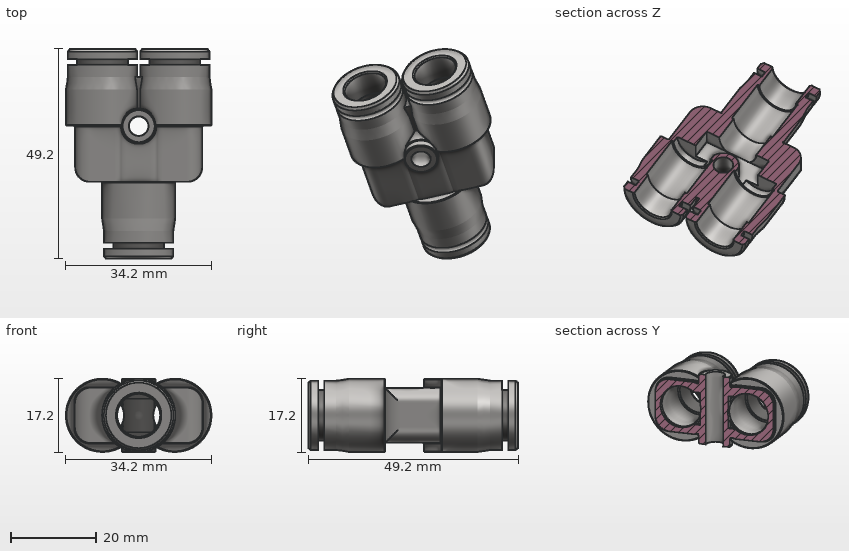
import cadquery as cq


LENGTH = 49.2
END_Y = LENGTH / 2
BRANCH_OFFSET = 8.485
BARREL_RADIUS = 8.6
SLEEVE_RADIUS = 8.15
NECK_RADIUS = 6.0
MOUTH_CHAMFER_LENGTH = 0.65
MOUTH_CHAMFER_DEPTH = 0.5
COLLAR_END = 2.35
NECK_END = 3.75
SLEEVE_END = 6.55
TAPER_END = 9.5
BARREL_END = 18.0

BAR_WIDTH = 12.9
CORNER_RADIUS = 3.55
BLOCK_HALF_WIDTH = BRANCH_OFFSET + BAR_WIDTH / 2
BLOCK_HALF_LENGTH = END_Y - BARREL_END
WEB_THICKNESS = BAR_WIDTH - 2 * CORNER_RADIUS
EDGE_RELIEF = 0.2

BOSS_Y = 6.5
BOSS_RADIUS = 4.0
BOSS_CHAMFER = 0.25
BOSS_HOLE_RADIUS = 2.25

BORE_RADIUS = 5.0
BORE_LEAD_IN = 0.35
COLLET_DEPTH = 6.45
CHAMBER_RADIUS = 5.5
CHAMBER_END = BARREL_END
TRUNK_BORE_DEPTH = 24.6
BRANCH_BORE_DEPTH = 19.7
CHANNEL_HEIGHT = 7.8
COLUMN_RADIUS = 3.7

SOCKETS = ((-BRANCH_OFFSET, 1), (BRANCH_OFFSET, 1), (0, -1))


def revolved(points, axis_x, direction):
    """Revolve (radius, Y) points about the Y axis, aim the open end and move it sideways."""
    body = cq.Workplane("XY").polyline(points).close().revolve(360, (0, 0), (0, 1))
    if direction < 0:
        body = body.rotate((0, 0, 0), (0, 0, 1), 180)
    return body.translate((axis_x, 0, 0))


def socket(axis_x, direction):
    """Barrel, tapered sleeve, neck and release collar of one port."""
    points = [
        (0, END_Y),
        (SLEEVE_RADIUS - MOUTH_CHAMFER_DEPTH, END_Y),
        (SLEEVE_RADIUS, END_Y - MOUTH_CHAMFER_LENGTH),
        (SLEEVE_RADIUS, END_Y - COLLAR_END),
        (NECK_RADIUS, END_Y - COLLAR_END),
        (NECK_RADIUS, END_Y - NECK_END),
        (SLEEVE_RADIUS, END_Y - NECK_END),
        (SLEEVE_RADIUS, END_Y - SLEEVE_END),
        (BARREL_RADIUS, END_Y - TAPER_END),
        (BARREL_RADIUS, END_Y - BARREL_END + EDGE_RELIEF),
        (BARREL_RADIUS - EDGE_RELIEF, END_Y - BARREL_END),
        (0, END_Y - BARREL_END),
    ]
    return revolved(points, axis_x, direction)


def bore(axis_x, direction):
    """Stepped tube passage of one port."""
    depth = BRANCH_BORE_DEPTH if direction > 0 else TRUNK_BORE_DEPTH
    points = [
        (0, END_Y),
        (BORE_RADIUS + BORE_LEAD_IN, END_Y),
        (BORE_RADIUS, END_Y - BORE_LEAD_IN),
        (BORE_RADIUS, END_Y - COLLET_DEPTH),
        (CHAMBER_RADIUS, END_Y - COLLET_DEPTH),
        (CHAMBER_RADIUS, END_Y - CHAMBER_END),
        (BORE_RADIUS, END_Y - CHAMBER_END),
        (BORE_RADIUS, END_Y - depth),
        (0, END_Y - depth),
    ]
    return revolved(points, axis_x, direction)


def rounded_bar(width, length, corner_radius):
    return cq.Workplane("XY").box(width, length, width).edges("|Y").fillet(corner_radius)


def block():
    """Three merged bars with the outer -Y corners rounded."""
    length = 2 * BLOCK_HALF_LENGTH
    bar = rounded_bar(BAR_WIDTH, length, CORNER_RADIUS)
    bars = bar
    for side in (-BRANCH_OFFSET, BRANCH_OFFSET):
        bars = bars.union(bar.translate((side, 0, 0)))
    outline = cq.Workplane("XY").box(2 * BLOCK_HALF_WIDTH, length, BAR_WIDTH)
    outline = outline.edges("|Z and <Y").fillet(CORNER_RADIUS)
    bars = bars.intersect(outline)

    valley_x = BRANCH_OFFSET / 2
    for side in (-valley_x, valley_x):
        reach = cq.selectors.BoxSelector(
            (side - EDGE_RELIEF, -END_Y, -BAR_WIDTH),
            (side + EDGE_RELIEF, END_Y, BAR_WIDTH),
        )
        bars = bars.edges("|Y").edges(reach).fillet(EDGE_RELIEF)
    return bars


def branch_web():
    """Flat web that fills the gap between the two branch barrels."""
    length = END_Y - SLEEVE_END
    return cq.Workplane("XY").box(
        2 * BRANCH_OFFSET, length, WEB_THICKNESS, centered=(True, False, True)
    )


def block_flares():
    """Sloped bands that ease the outer bars into the branch barrels."""
    length = 2 * EDGE_RELIEF
    flare = rounded_bar(BAR_WIDTH + 2 * EDGE_RELIEF, length, CORNER_RADIUS + EDGE_RELIEF)
    flare = flare.faces("<Y").chamfer(EDGE_RELIEF).translate((0, BLOCK_HALF_LENGTH, 0))
    return flare.translate((-BRANCH_OFFSET, 0, 0)).union(flare.translate((BRANCH_OFFSET, 0, 0)))


def boss():
    """Mounting boss through the block, with sloped bands at its base."""
    body = cq.Workplane("XY").cylinder(2 * BARREL_RADIUS, BOSS_RADIUS)
    body = body.edges("%CIRCLE").chamfer(BOSS_CHAMFER)
    flare = cq.Workplane("XY").cylinder(BAR_WIDTH + 2 * EDGE_RELIEF, BOSS_RADIUS + EDGE_RELIEF)
    flare = flare.edges("%CIRCLE").chamfer(EDGE_RELIEF)
    return body.union(flare).translate((0, BOSS_Y, 0))


def channel():
    """Cross passage that joins the trunk bore to the branches, around the boss column."""
    trunk_bottom = TRUNK_BORE_DEPTH - END_Y
    cavity = (
        cq.Workplane("XY")
        .box(2 * BRANCH_OFFSET, BOSS_Y - trunk_bottom, CHANNEL_HEIGHT, centered=(True, False, True))
        .translate((0, trunk_bottom, 0))
    )
    column = cq.Workplane("XY").cylinder(CHANNEL_HEIGHT, COLUMN_RADIUS)
    return cavity.cut(column.translate((0, BOSS_Y, 0)))


result = block().union(block_flares()).union(branch_web()).union(boss())
for axis_x, direction in SOCKETS:
    result = result.union(socket(axis_x, direction))
for axis_x, direction in SOCKETS:
    result = result.cut(bore(axis_x, direction))
result = result.cut(channel())

boss_hole = cq.Workplane("XY").cylinder(2 * BARREL_RADIUS, BOSS_HOLE_RADIUS)
result = result.cut(boss_hole.translate((0, BOSS_Y, 0)))